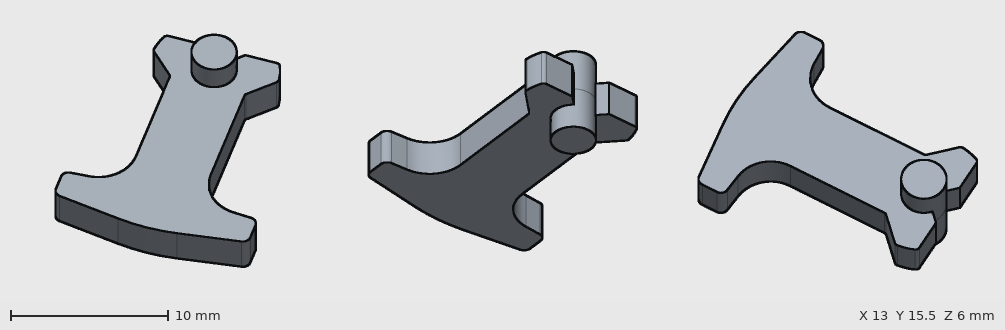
import cadquery as cq
import math

plate_thickness = 2.5
pin_radius = 1.45
pin_length = 6.0

head_top = 1.77
head_radius = 4.2
notch_half_width = 1.5
shoulder_y = -1.35
head_corner_radius = 0.3
shoulder_fillet = 0.2

stem_half_width = plate_thickness
stem_fillet = 2.5
base_half_width = 13.0 / 2
base_bottom = head_top - 15.53
base_arc_half_width = 1.97
base_slope = math.radians(8.6)
base_top_y = -10.96
base_top_slope = math.radians(4)
base_corner_radius = 0.5

notch_bottom = head_top - notch_half_width
head_top_x = math.sqrt(head_radius**2 - head_top**2)
shoulder_offset = stem_half_width - shoulder_y
tip_y = (math.sqrt(2 * head_radius**2 - shoulder_offset**2) - shoulder_offset) / 2
tip_x = tip_y + shoulder_offset
side_angle = (math.atan2(head_top, head_top_x) + math.atan2(tip_y, tip_x)) / 2
side_mid_x = head_radius * math.cos(side_angle)
side_mid_y = head_radius * math.sin(side_angle)
stem_base_y = base_top_y + (base_half_width - stem_half_width) * math.tan(base_top_slope)
base_arc_end_y = base_bottom + base_arc_half_width * math.tan(base_slope / 2)
base_low_y = base_arc_end_y + (base_half_width - base_arc_half_width) * math.tan(base_slope)


def round_corners(body, x, y, radius):
    """Round the vertical edges at (x, y) and (-x, y)."""
    reach = 0.02
    for side in (-1, 1):
        box = cq.selectors.BoxSelector(
            (side * x - reach, y - reach, -plate_thickness),
            (side * x + reach, y + reach, plate_thickness),
        )
        body = body.edges("|Z").edges(box).fillet(radius)
    return body


def make_plate():
    outline = (
        cq.Workplane("XY")
        .workplane(offset=-plate_thickness / 2)
        .moveTo(0, notch_bottom)
        .lineTo(notch_half_width, head_top)
        .lineTo(head_top_x, head_top)
        .threePointArc((side_mid_x, side_mid_y), (tip_x, tip_y))
        .lineTo(stem_half_width, shoulder_y)
        .lineTo(stem_half_width, stem_base_y)
        .lineTo(base_half_width, base_top_y)
        .lineTo(base_half_width, base_low_y)
        .lineTo(base_arc_half_width, base_arc_end_y)
        .threePointArc((0, base_bottom), (-base_arc_half_width, base_arc_end_y))
        .lineTo(-base_half_width, base_low_y)
        .lineTo(-base_half_width, base_top_y)
        .lineTo(-stem_half_width, stem_base_y)
        .lineTo(-stem_half_width, shoulder_y)
        .lineTo(-tip_x, tip_y)
        .threePointArc((-side_mid_x, side_mid_y), (-head_top_x, head_top))
        .lineTo(-notch_half_width, head_top)
        .close()
    )
    plate = outline.extrude(plate_thickness)
    plate = round_corners(plate, head_top_x, head_top, head_corner_radius)
    plate = round_corners(plate, tip_x, tip_y, head_corner_radius)
    plate = round_corners(plate, stem_half_width, shoulder_y, shoulder_fillet)
    plate = round_corners(plate, stem_half_width, stem_base_y, stem_fillet)
    plate = round_corners(plate, base_half_width, base_top_y, base_corner_radius)
    return round_corners(plate, base_half_width, base_low_y, base_corner_radius)


def make_pin():
    return cq.Workplane("XY").circle(pin_radius).extrude(pin_length / 2, both=True)


result = make_plate().union(make_pin())